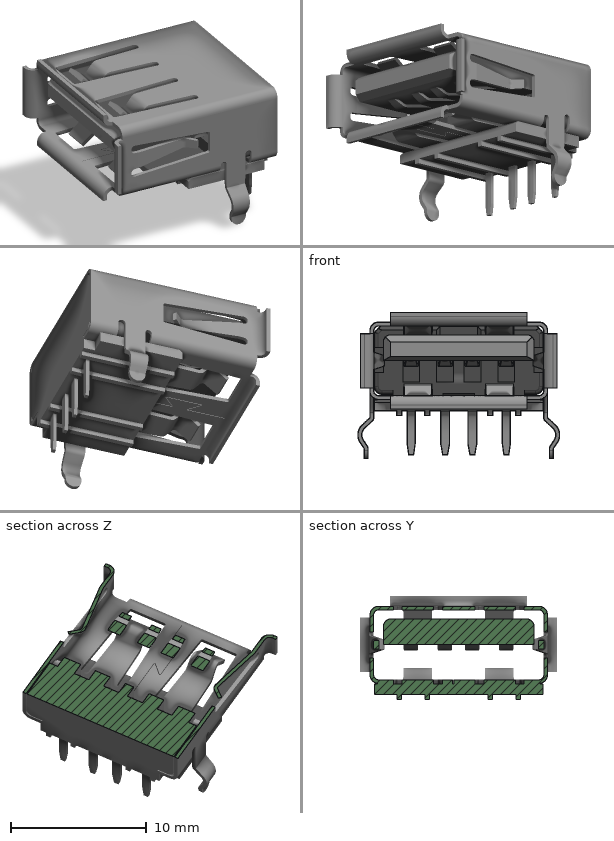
import cadquery as cq
import math


sheet = 0.3
shell_width = 13.08
shell_bottom = 1.17
shell_top = 6.88
shell_depth = 13.03
shell_corner = 0.65
shell_mid_z = (shell_top + shell_bottom) / 2
wall_x = shell_width / 2 - sheet / 2
roof_z = shell_top - sheet / 2
inner_x = shell_width / 2 - sheet
inner_top = shell_top - sheet
inner_bottom = shell_bottom + sheet

lip_reach = 0.77
lip_height = 0.7
lip_bend = 0.55
roof_lip_width = 10.05
side_lip_width = 4.0

seam_gap = 0.05
seam_x = 0.4
lock_x = -0.54
lock_front = 2.06
lock_length = 2.0

roof_spring_x = 3.0
roof_spring_root = 7.43
side_spring_root = 0.76
spring_through = 4.0
opening_corner = 0.12
spring_corner = 0.1
roof_spring = dict(
    opening_root_width=3.73,
    opening_tip_width=3.0,
    opening_length=7.01,
    root_width=2.46,
    tip_width=1.94,
    profile=[(3.5, 0), (3.92, 0), (4.79, 1.0), (6.06, 0)],
    bends=(0.4, 0.4),
    slot_end_radius=0.29,
)
side_spring = dict(
    opening_root_width=2.6,
    opening_tip_width=1.72,
    opening_length=6.59,
    root_width=1.36,
    tip_width=0.62,
    profile=[(0.4, 0), (0.65, 0), (4.94, 0.82), (5.65, 0)],
    bends=(0.6, 0.42),
    slot_end_radius=0.28,
)

leg_y = 9.54
leg_width = 1.57
leg_tip_width = 1.22
leg_taper_start = 0.23
leg_bottom = -3.17
leg_foot_x = 6.81
leg_knee_x = 7.535
leg_knee_z = -1.30
leg_shoulder_z = -0.23
leg_ankle_z = -2.38
leg_bends = (0.2, 0.85, 0.3)
front_relief_y = 8.27
front_relief_top = 2.07
rear_relief_y = 10.87
rear_relief_top = 2.48

block_front = 8.58
block_width = 12.4
block_bottom = 1.56
block_corner = 0.45
block_lower_radius = 0.56
block_edge = 0.28
sill_width = 9.68
sill_height = 0.4
notch_width = 2.34
notch_height = 0.17
recess_width = 2.76
recess_depth = 0.25
side_notch_x = 5.53
side_notch_bottom = 3.17
side_notch_top = 4.99
pocket_bottom = 2.45
pocket_depth = 1.0

tongue_width = 11.1
tongue_bottom = 4.04
tongue_top = 5.94
tongue_front = 0.14
tongue_bevel_start = 1.07
tongue_face_width = 10.04
tongue_face_bottom = 4.34
tongue_face_top = 5.40
tongue_corner = 0.55

base_front = 5.75
base_bottom = 0.35
base_edge = 0.2
base_width = 12.4
base_rear_width = 10.0
base_rear_start = 12.15
standoff_positions = (2.32, 4.38)
standoff_width = 0.38

contacts = (
    (-3.5, 0.61, 1.2),
    (-1.0, 0.67, 1.25),
    (1.0, 0.67, 1.25),
    (3.5, 0.61, 1.2),
)
pin_y = 12.27
pin_thickness = 0.26
pin_bottom = -2.89
pin_taper_start = -2.05
pin_tip_width = 0.37
contact_sheet = 0.2
contact_width = 1.06
contact_tip_width = 0.66
contact_front = 2.1
contact_taper_end = 3.9
contact_low_y = 3.3
contact_bend_y = 6.5
contact_bulge = 0.38
contact_bend = 0.8


def box(x_range, y_range, z_range):
    size = [b - a for a, b in (x_range, y_range, z_range)]
    corner = (x_range[0], y_range[0], z_range[0])
    return cq.Workplane("XY").box(*size, centered=False).translate(corner)


def both_sides(body):
    return body.union(body.mirror("YZ"))


def bent_strip(plane, path, thickness, bends, width):
    """Sheet strip along a 2D centreline, with one centreline radius per corner."""
    half = thickness / 2

    def heading(a, b):
        return math.atan2(b[1] - a[1], b[0] - a[0])

    def offset(point, angle, distance):
        return (point[0] - distance * math.sin(angle), point[1] + distance * math.cos(angle))

    def edge(side):
        """Start, bend arcs as (first, middle, last) and end of one face of the strip."""
        arcs = []
        for before, corner, after, bend in zip(path, path[1:], path[2:], bends):
            a_in = heading(before, corner)
            a_out = heading(corner, after)
            turn = math.remainder(a_out - a_in, 2 * math.pi)
            sign = math.copysign(1, turn)
            back = bend * math.tan(abs(turn) / 2)
            tangent = (corner[0] - back * math.cos(a_in), corner[1] - back * math.sin(a_in))
            centre = offset(tangent, a_in, sign * bend)
            radius = side * half - sign * bend
            arcs.append([offset(centre, a_in + turn * f, radius) for f in (0, 0.5, 1)])
        start = offset(path[0], heading(path[0], path[1]), side * half)
        end = offset(path[-1], heading(path[-2], path[-1]), side * half)
        return start, arcs, end

    start, arcs, end = edge(1)
    outline = cq.Workplane(plane).moveTo(*start)
    for first, middle, last in arcs:
        outline = outline.lineTo(*first).threePointArc(middle, last)
    outline = outline.lineTo(*end)
    start, arcs, end = edge(-1)
    outline = outline.lineTo(*end)
    for first, middle, last in reversed(arcs):
        outline = outline.lineTo(*last).threePointArc(middle, first)
    return outline.lineTo(*start).close().extrude(width / 2, both=True)


def tapered_prism(start, end, start_width, end_width):
    """Upright prism over a trapezoid that runs along +Y."""
    return (
        cq.Workplane("XY")
        .polyline([
            (-start_width / 2, start),
            (start_width / 2, start),
            (end_width / 2, end),
            (-end_width / 2, end),
        ])
        .close()
        .extrude(spring_through / 2, both=True)
    )


def spring_pair(
    opening_root_width,
    opening_tip_width,
    opening_length,
    root_width,
    tip_width,
    profile,
    bends,
    slot_end_radius,
):
    """Opening in the sheet and the bent spring that fills part of it."""
    root_end = profile[0][0]
    tip_end = profile[-1][0]
    blade = tapered_prism(0, tip_end + opening_corner, root_width, tip_width)
    uncut_root = blade.intersect(tapered_prism(0, root_end, opening_root_width, opening_root_width))
    opening = (
        tapered_prism(0, opening_length, opening_root_width, opening_tip_width)
        .edges("|Z and >Y")
        .fillet(opening_corner)
        .cut(uncut_root)
        .edges("|Z and <Y")
        .fillet(slot_end_radius)
    )
    rounded_blade = blade.edges("|Z and >Y").fillet(spring_corner)
    strip = bent_strip("YZ", profile, sheet, bends, opening_root_width)
    return opening, strip.intersect(rounded_blade)


def spring_locations():
    """Locations of the roof and floor springs, then of the side wall springs."""
    flat = []
    for x in (-roof_spring_x, roof_spring_x):
        for z, inward in ((roof_z, -1), (shell_bottom + sheet / 2, 1)):
            origin = (x, roof_spring_root, z)
            flat.append(cq.Location(cq.Plane(origin, (-inward, 0, 0), (0, 0, inward))))
    side = []
    for inward in (-1, 1):
        origin = (-inward * wall_x, side_spring_root, shell_mid_z)
        side.append(cq.Location(cq.Plane(origin, (0, 0, -inward), (inward, 0, 0))))
    return flat, side


def shell_tube():
    def prism(width, bottom, top, corner):
        return (
            box((-width / 2, width / 2), (0, shell_depth), (bottom, top))
            .edges("|Y")
            .fillet(corner)
        )

    outside = prism(shell_width, shell_bottom, shell_top, shell_corner)
    return outside.cut(prism(2 * inner_x, inner_bottom, inner_top, shell_corner - sheet))


def lips():
    """Flared lips on the four sides of the mouth."""
    turn_y = sheet / 2 - lip_reach
    roof_path = [(0, roof_z), (turn_y, roof_z), (turn_y, shell_top + lip_height)]
    roof = bent_strip("YZ", roof_path, sheet, [lip_bend], roof_lip_width)
    floor = roof.mirror("XY", (0, 0, shell_mid_z))
    side_path = [(wall_x, 0), (wall_x, turn_y), (shell_width / 2 + lip_height, turn_y)]
    side = bent_strip("XY", side_path, sheet, [lip_bend], side_lip_width)
    return roof.union(floor).union(both_sides(side.translate((0, 0, shell_mid_z))))


def floor_seam():
    """Narrow gap in the floor sheet that steps sideways around a dovetail."""
    lock_rear = lock_front + lock_length
    lock_slant = seam_x - lock_x
    path = [
        (seam_x, 0),
        (seam_x, lock_front + lock_slant),
        (lock_x, lock_front),
        (lock_x, lock_rear + lock_slant),
        (seam_x, lock_rear),
        (seam_x, block_front),
    ]
    return bent_strip("XY", path, seam_gap, [seam_gap] * 4, 2 * inner_bottom)


def leg():
    path = [
        (wall_x, shell_mid_z),
        (wall_x, leg_shoulder_z),
        (leg_knee_x, leg_knee_z),
        (leg_foot_x, leg_ankle_z),
        (leg_foot_x, leg_bottom),
    ]
    strip = bent_strip("XZ", path, sheet, leg_bends, 2 * leg_width).translate((0, leg_y, 0))
    tip_radius = leg_tip_width / 2
    outline = (
        cq.Workplane("YZ")
        .moveTo(leg_y - leg_width / 2, shell_mid_z)
        .lineTo(leg_y - leg_width / 2, leg_taper_start)
        .lineTo(leg_y - tip_radius, leg_bottom + tip_radius)
        .threePointArc((leg_y, leg_bottom), (leg_y + tip_radius, leg_bottom + tip_radius))
        .lineTo(leg_y + leg_width / 2, leg_taper_start)
        .lineTo(leg_y + leg_width / 2, shell_mid_z)
        .close()
        .extrude(shell_width)
    )
    return strip.intersect(outline)


def leg_reliefs():
    """Round-topped slots on both sides of a leg and the opening in the bend below it."""
    x_range = (sill_width / 2, shell_width)
    inner_edges = (leg_y - leg_width / 2, leg_y + leg_width / 2)
    gap = box(x_range, inner_edges, (0, shell_bottom + shell_corner))
    slots = (
        (front_relief_y, inner_edges[0], front_relief_top),
        (inner_edges[1], rear_relief_y, rear_relief_top),
    )
    for front, rear, top in slots:
        round_z = top - (rear - front) / 2
        slot = box(x_range, (front, rear), (0, round_z))
        round_top = (
            cq.Workplane("YZ", origin=(x_range[0], (front + rear) / 2, round_z))
            .circle((rear - front) / 2)
            .extrude(x_range[1] - x_range[0])
        )
        gap = gap.union(slot).union(round_top)
    return gap


def shell():
    body = shell_tube().union(lips()).cut(floor_seam())
    body = body.cut(both_sides(leg_reliefs())).union(both_sides(leg()))
    for locations, sizes in zip(spring_locations(), (roof_spring, side_spring)):
        opening, spring = spring_pair(**sizes)
        for location in locations:
            body = body.cut(cq.Workplane(opening.val().moved(location)))
            body = body.union(cq.Workplane(spring.val().moved(location)))
    return body


def rear_block():
    full_depth = (block_front, shell_depth)
    block = (
        box((-block_width / 2, block_width / 2), full_depth, (block_bottom, inner_top))
        .edges("|Y and >Z")
        .chamfer(block_corner)
        .edges("|Y and <Z")
        .fillet(block_lower_radius)
        .edges("<Y and >Z")
        .chamfer(block_edge)
        .faces("<Y")
        .edges("not >Z")
        .fillet(block_edge)
    )
    sill_z = (shell_bottom, inner_bottom + sill_height)
    block = block.union(box((-sill_width / 2, sill_width / 2), full_depth, sill_z))

    notch = (
        cq.Workplane("YZ")
        .polyline([
            (block_front, inner_bottom),
            (block_front, inner_bottom + notch_height),
            (block_front + notch_height, inner_bottom),
        ])
        .close()
        .extrude(notch_width / 2, both=True)
    )
    recess_half = recess_width / 2
    recess = (
        cq.Workplane("XY", origin=(0, 0, tongue_bottom))
        .polyline([
            (-recess_half - recess_depth, block_front),
            (-recess_half, block_front + recess_depth),
            (recess_half, block_front + recess_depth),
            (recess_half + recess_depth, block_front),
        ])
        .close()
        .extrude(inner_top - tongue_bottom)
    )
    pocket_y = (block_front, block_front + pocket_depth)
    side_notch = box((side_notch_x, inner_x), pocket_y, (side_notch_bottom, side_notch_top))
    block = block.cut(notch).cut(recess).cut(both_sides(side_notch))
    for x, _, width in contacts:
        x_range = (x - width / 2, x + width / 2)
        block = block.cut(box(x_range, pocket_y, (pocket_bottom, tongue_bottom)))
    return block


def tongue():
    """Contact carrier with a bevelled front face and rounded upper corners."""
    rear = block_front + pocket_depth
    half = tongue_width / 2
    face_half = tongue_face_width / 2
    front_shape = (
        box((-half, half), (tongue_front, rear), (tongue_bottom, tongue_top))
        .edges("|Y and >Z")
        .fillet(tongue_corner)
    )
    side_shape = (
        cq.Workplane("YZ")
        .polyline([
            (rear, tongue_bottom),
            (tongue_bevel_start, tongue_bottom),
            (tongue_front, tongue_face_bottom),
            (tongue_front, tongue_face_top),
            (tongue_bevel_start, tongue_top),
            (rear, tongue_top),
        ])
        .close()
        .extrude(half, both=True)
    )
    top_shape = (
        cq.Workplane("XY")
        .polyline([
            (-half, rear),
            (-half, tongue_bevel_start),
            (-face_half, tongue_front),
            (face_half, tongue_front),
            (half, tongue_bevel_start),
            (half, rear),
        ])
        .close()
        .extrude(shell_top)
    )
    return front_shape.intersect(side_shape).intersect(top_shape)


def base():
    """Foot of the housing under the shell, with standoff ribs on the board."""
    half = base_width / 2
    rear_half = base_rear_width / 2
    z_range = (base_bottom, shell_bottom)
    body = box((-half, half), (base_front, base_rear_start), z_range)
    body = body.edges("<Y and >Z").chamfer(base_edge)
    body = body.union(box((-rear_half, rear_half), (base_rear_start, shell_depth), z_range))
    for x in standoff_positions:
        x_range = (x - standoff_width / 2, x + standoff_width / 2)
        body = body.union(both_sides(box(x_range, (base_front, shell_depth), (0, base_bottom))))
    return body


def pin(width):
    return (
        cq.Workplane("XZ", origin=(0, pin_y, 0))
        .polyline([
            (-width / 2, shell_bottom),
            (-width / 2, pin_taper_start),
            (-pin_tip_width / 2, pin_bottom),
            (pin_tip_width / 2, pin_bottom),
            (width / 2, pin_taper_start),
            (width / 2, shell_bottom),
        ])
        .close()
        .extrude(pin_thickness / 2, both=True)
    )


def contact_blade():
    """Sprung contact that bulges below the tongue."""
    rear_z = tongue_bottom + contact_sheet
    path = [
        (block_front + pocket_depth, rear_z),
        (contact_bend_y, rear_z),
        (contact_low_y, tongue_bottom - contact_bulge),
        (contact_front, rear_z),
    ]
    bends = (contact_bend, contact_bend)
    strip = bent_strip("YZ", path, contact_sheet, bends, contact_width)
    taper = tapered_prism(contact_front, contact_taper_end, contact_tip_width, contact_width)
    straight = tapered_prism(contact_taper_end, shell_depth, contact_width, contact_width)
    return strip.intersect(taper.union(straight).translate((0, 0, tongue_bottom)))


result = shell().union(rear_block()).union(tongue()).union(base())
for contact_x, pin_width, _ in contacts:
    result = result.union(pin(pin_width).translate((contact_x, 0, 0)))
    result = result.union(contact_blade().translate((contact_x, 0, 0)))